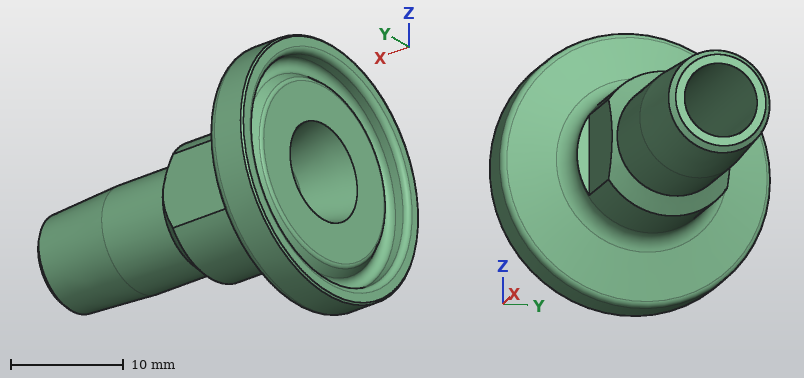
import cadquery as cq
import math

length = 30.0
flange_straight_end = 3.18
hub_start = 7.23
flats_start = 7.53
hub_chamfer_start = 13.55
taper_start = 22.0

flange_radius = 12.5
hub_radius = 6.6
spigot_radius = 5.13
tip_radius = 4.68

face_chamfer = 0.18
tip_chamfer = 0.5
flange_back_angle = math.radians(20)
flange_round = 0.72
hub_fillet = 1.98

flat_distance = 5.5

land_recess = 0.8

bore_entry_radius = 4.75
bore_radius = 3.35
bore_taper_end = 6.05

groove_mouth_radius = 11.43
groove_outer_radius = 10.85
groove_root_inner_radius = 9.48
land_cone_radius = 8.88
land_radius = 8.5
groove_wall_angle = math.radians(35)


def arc_point(center, radius, angle):
    """Point on a profile arc; the angle is measured from +X toward the radial direction."""
    return (center[0] + radius * math.cos(angle), center[1] + radius * math.sin(angle))


def turned_body():
    """Solid of revolution with the flange, hub, spigot and tapered tip."""
    round_center = (flange_straight_end, flange_radius - flange_round)
    fillet_center = (hub_start, hub_radius + hub_fillet)
    quarter = math.pi / 2
    middle = (quarter + flange_back_angle) / 2
    return (
        cq.Workplane("XY")
        .moveTo(0, 0)
        .lineTo(0, flange_radius - face_chamfer)
        .lineTo(face_chamfer, flange_radius)
        .lineTo(flange_straight_end, flange_radius)
        .threePointArc(
            arc_point(round_center, flange_round, middle),
            arc_point(round_center, flange_round, flange_back_angle),
        )
        .lineTo(*arc_point(fillet_center, hub_fillet, math.pi + flange_back_angle))
        .threePointArc(
            arc_point(fillet_center, hub_fillet, math.pi + middle),
            (hub_start, hub_radius),
        )
        .lineTo(hub_chamfer_start, hub_radius)
        .lineTo(hub_chamfer_start + hub_radius - spigot_radius, spigot_radius)
        .lineTo(taper_start, spigot_radius)
        .lineTo(length - tip_chamfer, tip_radius)
        .lineTo(length, tip_radius - tip_chamfer)
        .lineTo(length, 0)
        .close()
        .revolve(360, (0, 0, 0), (1, 0, 0))
    )


def wrench_flat(side):
    """Block removed beyond the flat on one Y side (+1 or -1)."""
    return (
        cq.Workplane("XY")
        .box(length - flats_start, flange_radius, 2 * flange_radius, centered=(False, True, True))
        .translate((flats_start, side * (flat_distance + flange_radius / 2), 0))
    )


def bore():
    """Conical inlet followed by a straight hole through the tip."""
    return (
        cq.Workplane("XY")
        .polyline([
            (0, 0),
            (0, bore_entry_radius),
            (land_recess, bore_entry_radius),
            (bore_taper_end, bore_radius),
            (length, bore_radius),
            (length, 0),
        ])
        .close()
        .revolve(360, (0, 0, 0), (1, 0, 0))
    )


def face_recess():
    """Land recess and ring groove with a rounded mouth, round root and sloping inner wall."""
    mouth_round = groove_mouth_radius - groove_outer_radius
    root_span = groove_outer_radius - groove_root_inner_radius
    root_radius = root_span / (1 + math.cos(groove_wall_angle))
    land_round = (land_cone_radius - land_radius) / math.cos(groove_wall_angle)
    cone_start = land_recess + land_round * (1 - math.sin(groove_wall_angle))
    cone_length = (groove_root_inner_radius - land_cone_radius) / math.tan(groove_wall_angle)
    root_inner_x = cone_start + cone_length

    mouth_center = (mouth_round, groove_mouth_radius)
    root_center = (
        root_inner_x - root_radius * math.sin(groove_wall_angle),
        groove_outer_radius - root_radius,
    )
    land_center = (land_recess + land_round, land_radius)
    land_middle = (math.pi + math.pi / 2 + groove_wall_angle) / 2
    land_end = math.pi / 2 + groove_wall_angle
    return (
        cq.Workplane("XY")
        .moveTo(0, 0)
        .lineTo(land_recess, 0)
        .lineTo(land_recess, land_radius)
        .threePointArc(
            arc_point(land_center, land_round, land_middle),
            arc_point(land_center, land_round, land_end),
        )
        .lineTo(root_inner_x, groove_root_inner_radius)
        .threePointArc(
            arc_point(root_center, root_radius, 0),
            (root_center[0], groove_outer_radius),
        )
        .lineTo(mouth_round, groove_outer_radius)
        .threePointArc(
            arc_point(mouth_center, mouth_round, 1.25 * math.pi),
            (0, groove_mouth_radius),
        )
        .close()
        .revolve(360, (0, 0, 0), (1, 0, 0))
    )


result = turned_body().cut(bore()).cut(face_recess())
for side in (-1, 1):
    result = result.cut(wrench_flat(side))